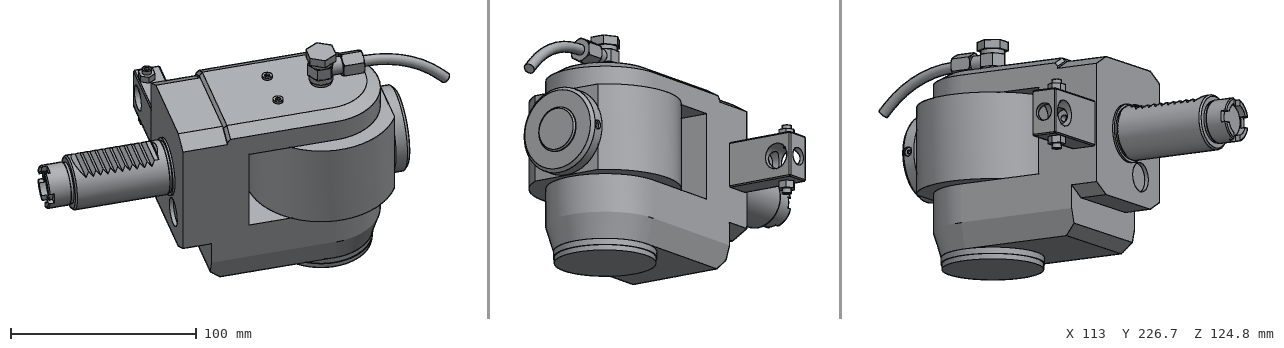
import cadquery as cq
import math


OVERALL_LENGTH = 226.7

HALF_WIDTH = 32.0
DISC_Y = 86.0
TOP_Z = 40.1
TOP_CHAMFER_OUT = 7.3
TOP_CHAMFER_DOWN = 4.0
TAPER_TOP_Z = -45.0
TAPER_ANGLE = 17.0
BOTTOM_Z = -58.7
LOWER_START_Y = 15.9
LOWER_CHAMFER = 6.0

BLOCK_DEPTH = 24.7
BLOCK_TOP_Z = 38.3
BLOCK_BOTTOM_Z = -37.6
BLOCK_CHAMFER_WIDTH = 9.5
BLOCK_CHAMFER_HEIGHT = 5.5
PORT_RADIUS = 8.0
PORT_X = 12.5
PORT_Z = -21.8
PORT_DEPTH = 2.3

DISC_RADIUS = 41.0
DISC_HEIGHT = 47.5
SLOT_START_Y = 37.0
CAP_RADIUS = 23.5
CAP_START_Y = 121.3
CAP_END_Y = 129.5
CAP_CHAMFER = 1.8
CAP_BOSS_RADIUS = 12.2
CAP_BOSS_HEIGHT = 1.4
CAP_BOSS_CHAMFER = 1.0
CAP_SCREW_RADIUS = 2.5
CAP_SCREW_Y = 125.1
CAP_SCREW_DEPTH = 1.4
CAP_SOCKET_RADIUS = 1.1
CAP_SOCKET_DEPTH = 2.7

NOSE_RADIUS = 27.9
NOSE_HEIGHT = 6.3
NOSE_FLANGE_HEIGHT = 3.5
NOSE_RIM_STEP = 0.5

SHANK_RADIUS = 15.0
SHANK_COLLAR_RADIUS = 15.9
SHANK_COLLAR_LENGTH = 1.1
SHANK_NECK_RADIUS = 14.3
SHANK_START = 2.5
SHANK_END = 55.0
SHANK_CHAMFER = 1.0
DRIVE_RADIUS = 11.8
DRIVE_NECK_RADIUS = 11.3
DRIVE_START = 56.7
DRIVE_END = 69.1
DRIVE_CHAMFER = 0.7
DRIVE_BORE_RADIUS = 8.6
DRIVE_BORE_DEPTH = 3.6
DRIVE_SLOT_WIDTH = 6.1
DRIVE_SLOT_DEPTH = 3.0

TEETH_START = 7.0
TEETH_FIRST_VALLEY = 11.5
TEETH_PITCH = 4.0
TEETH_ENTRY_BEVEL = 1.1
TEETH_COUNT = 10
TOOTH_TIP_Z = 12.2
TOOTH_ROOT_Z = 10.2

ARM_END_X = -72.0
ARM_START_Y = 1.1
ARM_END_Y = 15.9
ARM_HEIGHT = 25.0
ARM_BORE_RADIUS = 7.0
ARM_BORE_X = -62.8
ARM_HOLE_Y = 8.5
ARM_HOLE_RADIUS = 4.8
ARM_PILOT_RADIUS = 1.8
ARM_PILOT_DEPTH = 4.5
ARM_HOLE_DEPTH = 20.5
ARM_CHAMFER = 0.7
BOLT_Y = 6.1
BOLT_RADIUS = 2.5
BOLT_LENGTH = 37.6
BOLT_NUT_CORNERS = 9.3
BOLT_NUT_HEIGHT = 3.9
BOLT_TIP_RADIUS = 1.8
BOLT_TIP_Z = 6.5
BOLT_SOCKET = 3.0
BOLT_SOCKET_DEPTH = 2.3

FITTING_BASE_RADIUS = 6.0
FITTING_BASE_HEIGHT = 2.0
FITTING_RADIUS = 6.5
FITTING_HEX_BOTTOM_Z = 45.5
FITTING_HEX_TOP_Z = 52.5
HEAD_BOTTOM_Z = 55.0
HEAD_TOP_Z = 59.8
HEAD_CORNERS = 16.8
HOSE_Z = 48.7
BRANCH_RADIUS = 4.8
HOSE_NUT_START_Y = 97.0
HOSE_NUT_END_Y = 108.8
HOSE_NUT_CORNERS = 13.5
HOSE_RADIUS = 3.0
HOSE_STRAIGHT_END_Y = 110.6
HOSE_BEND_RADIUS = 58.5
HOSE_BEND_ANGLE = 45.0
HOSE_NUT_BEVEL = 0.7

SCREW_X = 10.9
SCREW_Y = 59.0
SCREW_RADIUS = 2.7
SCREW_HEIGHT = 1.4
SCREW_SOCKET = 3.0
SCREW_SOCKET_DEPTH = 1.1

HEX_FLATS_TO_CORNERS = 2 / math.sqrt(3)


def upright(radius, bottom_z, top_z, x=0, y=0):
    """Cylinder along Z."""
    return cq.Workplane("XY", origin=(x, y, bottom_z)).circle(radius).extrude(top_z - bottom_z)


def lying(radius, start_y, end_y, x=0, z=0):
    """Cylinder along Y, from start_y to a larger end_y."""
    return cq.Workplane("XZ", origin=(x, start_y, z)).circle(radius).extrude(start_y - end_y)


def box(x_range, y_range, z_range):
    """Box between two limits on each axis."""
    size = [high - low for low, high in (x_range, y_range, z_range)]
    corner = (x_range[0], y_range[0], z_range[0])
    return cq.Workplane("XY", origin=corner).box(*size, centered=False)


def rounded_prism(start_y, bottom_z, height, taper=0):
    """Prism with a flat front at start_y and a half-round rear about the disc axis."""
    return (
        cq.Workplane("XY", origin=(0, 0, bottom_z))
        .moveTo(-HALF_WIDTH, start_y)
        .lineTo(HALF_WIDTH, start_y)
        .lineTo(HALF_WIDTH, DISC_Y)
        .threePointArc((0, DISC_Y + HALF_WIDTH), (-HALF_WIDTH, DISC_Y))
        .close()
        .extrude(height, taper=taper)
    )


def make_housing():
    upper = rounded_prism(BLOCK_DEPTH, 0, TOP_Z)
    rim = upper.faces(">Z").edges("not <Y")
    upper = rim.chamfer(TOP_CHAMFER_DOWN, TOP_CHAMFER_OUT)

    front_top = upper.faces("<Y").edges("not |Z").edges("not <Z")
    upper = front_top.chamfer(TOP_Z - BLOCK_TOP_Z)

    lower = rounded_prism(LOWER_START_Y, TAPER_TOP_Z, -TAPER_TOP_Z)

    taper_height = TAPER_TOP_Z - BOTTOM_Z
    front_shift = taper_height * math.tan(math.radians(TAPER_ANGLE))
    tapered = rounded_prism(LOWER_START_Y - front_shift, TAPER_TOP_Z, -taper_height, TAPER_ANGLE)
    front_limits = ((-HALF_WIDTH, HALF_WIDTH), (LOWER_START_Y, DISC_Y + HALF_WIDTH), (BOTTOM_Z, 0))
    tapered = tapered.intersect(box(*front_limits))
    tapered = tapered.faces("<Z").edges("<Y").chamfer(LOWER_CHAMFER)
    return upper.union(lower).union(tapered)


def make_block():
    inner = HALF_WIDTH - BLOCK_CHAMFER_WIDTH
    low_side = BLOCK_BOTTOM_Z + BLOCK_CHAMFER_HEIGHT
    high_side = BLOCK_TOP_Z - BLOCK_CHAMFER_HEIGHT
    outline = [
        (-inner, BLOCK_BOTTOM_Z),
        (inner, BLOCK_BOTTOM_Z),
        (HALF_WIDTH, low_side),
        (HALF_WIDTH, high_side),
        (inner, BLOCK_TOP_Z),
        (-inner, BLOCK_TOP_Z),
        (-HALF_WIDTH, high_side),
        (-HALF_WIDTH, low_side),
    ]
    block = cq.Workplane("XZ").polyline(outline).close().extrude(-BLOCK_DEPTH)
    port = lying(PORT_RADIUS, 0, PORT_DEPTH, PORT_X, PORT_Z)
    return block.cut(port)


def make_disc():
    half_height = DISC_HEIGHT / 2
    disc = upright(DISC_RADIUS, -half_height, half_height, y=DISC_Y)
    return disc.cut(lying(DISC_RADIUS, CAP_START_Y, DISC_Y + DISC_RADIUS))


def make_cap():
    cap = lying(CAP_RADIUS, CAP_START_Y, CAP_END_Y).faces(">Y").edges().chamfer(CAP_CHAMFER)
    boss = lying(CAP_BOSS_RADIUS, CAP_END_Y, CAP_END_Y + CAP_BOSS_HEIGHT)
    boss = boss.faces(">Y").edges().chamfer(CAP_BOSS_CHAMFER)

    screw_face = cq.Workplane("YZ", origin=(-CAP_RADIUS, CAP_SCREW_Y, 0))
    screw_hole = screw_face.circle(CAP_SCREW_RADIUS).extrude(CAP_SCREW_DEPTH)
    socket = screw_face.circle(CAP_SOCKET_RADIUS).extrude(CAP_SOCKET_DEPTH)
    return cap.union(boss).cut(screw_hole).cut(socket)


def make_nose():
    rim_z = BOTTOM_Z - NOSE_FLANGE_HEIGHT
    flange = upright(NOSE_RADIUS, rim_z, BOTTOM_Z, y=DISC_Y)
    rim = upright(NOSE_RADIUS - NOSE_RIM_STEP, BOTTOM_Z - NOSE_HEIGHT, rim_z, y=DISC_Y)
    return flange.union(rim)


def make_teeth_cutter():
    """Toothed profile removed from the top of the shank, right across its width."""
    half_pitch = TEETH_PITCH / 2
    outline = [
        (TEETH_ENTRY_BEVEL - TEETH_START, SHANK_RADIUS),
        (-TEETH_START, SHANK_RADIUS - TEETH_ENTRY_BEVEL),
        (-TEETH_START, TOOTH_TIP_Z),
    ]
    for i in range(TEETH_COUNT):
        valley_y = -TEETH_FIRST_VALLEY - i * TEETH_PITCH
        outline.append((valley_y + half_pitch, TOOTH_TIP_Z))
        outline.append((valley_y, TOOTH_ROOT_Z))

    outline.append((valley_y - (SHANK_RADIUS - TOOTH_ROOT_Z), SHANK_RADIUS))
    return cq.Workplane("YZ").polyline(outline).close().extrude(SHANK_RADIUS, both=True)


def make_shank():
    collar = lying(SHANK_COLLAR_RADIUS, -SHANK_COLLAR_LENGTH, 0)
    neck = lying(SHANK_NECK_RADIUS, -SHANK_START, 0)
    barrel = lying(SHANK_RADIUS, -SHANK_END, -SHANK_START).faces("<Y").edges().chamfer(SHANK_CHAMFER)
    barrel = barrel.cut(make_teeth_cutter())

    drive_neck = lying(DRIVE_NECK_RADIUS, -DRIVE_START, -SHANK_END)
    drive = lying(DRIVE_RADIUS, -DRIVE_END, -DRIVE_START).faces("<Y").edges().chamfer(DRIVE_CHAMFER)
    drive = drive.cut(lying(DRIVE_BORE_RADIUS, -DRIVE_END, DRIVE_BORE_DEPTH - DRIVE_END))
    slots = (
        cq.Workplane("XZ", origin=(0, DRIVE_SLOT_DEPTH - DRIVE_END, 0))
        .rect(2 * DRIVE_RADIUS, DRIVE_SLOT_WIDTH)
        .extrude(DRIVE_SLOT_DEPTH)
    )
    drive = drive.cut(slots).cut(slots.rotate((0, 0, 0), (0, 1, 0), 90))
    return collar.union(neck).union(barrel).union(drive_neck).union(drive)


def make_arm():
    half_height = ARM_HEIGHT / 2
    arm = box((ARM_END_X, -HALF_WIDTH), (ARM_START_Y, ARM_END_Y), (-half_height, half_height))
    arm = arm.edges("|X").chamfer(ARM_CHAMFER)
    arm = arm.faces("<X").edges().chamfer(ARM_CHAMFER)

    end_face = cq.Workplane("YZ", origin=(ARM_END_X, ARM_HOLE_Y, 0))
    end_hole = end_face.circle(ARM_HOLE_RADIUS).extrude(ARM_HOLE_DEPTH)
    pilot = end_face.circle(ARM_PILOT_RADIUS).extrude(ARM_HOLE_DEPTH + ARM_PILOT_DEPTH)
    bore = lying(ARM_BORE_RADIUS, ARM_START_Y, ARM_END_Y, ARM_BORE_X)
    arm = arm.cut(bore).cut(end_hole).cut(pilot)

    clamp_screw = make_clamp_screw()
    return arm.union(clamp_screw).union(clamp_screw.mirror("XY"))


def make_clamp_screw():
    """Socket screw with a locknut on top of the arm; its tip just enters the bore."""
    arm_top = ARM_HEIGHT / 2
    shaft_top = BOLT_LENGTH / 2
    tip = upright(BOLT_TIP_RADIUS, BOLT_TIP_Z, arm_top, ARM_BORE_X, BOLT_Y)
    shaft = upright(BOLT_RADIUS, arm_top, shaft_top, ARM_BORE_X, BOLT_Y)
    nut = (
        cq.Workplane("XY", origin=(ARM_BORE_X, BOLT_Y, arm_top))
        .polygon(6, BOLT_NUT_CORNERS)
        .extrude(BOLT_NUT_HEIGHT)
    )
    socket = (
        cq.Workplane("XY", origin=(ARM_BORE_X, BOLT_Y, shaft_top - BOLT_SOCKET_DEPTH))
        .polygon(6, BOLT_SOCKET)
        .extrude(BOLT_SOCKET_DEPTH)
    )
    return tip.union(shaft).union(nut).cut(socket)


def make_fitting():
    base = upright(FITTING_BASE_RADIUS, TOP_Z, TOP_Z + FITTING_BASE_HEIGHT, y=DISC_Y)
    stem = upright(FITTING_RADIUS, TOP_Z + FITTING_BASE_HEIGHT, HEAD_BOTTOM_Z, y=DISC_Y)
    body_hex = (
        cq.Workplane("XY", origin=(0, DISC_Y, FITTING_HEX_BOTTOM_Z))
        .transformed(rotate=(0, 0, 90))
        .polygon(6, 2 * FITTING_RADIUS * HEX_FLATS_TO_CORNERS)
        .extrude(FITTING_HEX_TOP_Z - FITTING_HEX_BOTTOM_Z)
    )
    head = (
        cq.Workplane("XY", origin=(0, DISC_Y, HEAD_BOTTOM_Z))
        .polygon(6, HEAD_CORNERS)
        .extrude(HEAD_TOP_Z - HEAD_BOTTOM_Z)
    )
    branch = lying(BRANCH_RADIUS, DISC_Y, HOSE_NUT_START_Y, z=HOSE_Z)
    hose_nut = (
        cq.Workplane("XZ", origin=(0, HOSE_NUT_END_Y, HOSE_Z))
        .transformed(rotate=(0, 0, 90))
        .polygon(6, HOSE_NUT_CORNERS)
        .extrude(HOSE_NUT_END_Y - HOSE_NUT_START_Y)
    )
    nut_envelope = lying(HOSE_NUT_CORNERS / 2, HOSE_NUT_START_Y, HOSE_NUT_END_Y, z=HOSE_Z)
    hose_nut = hose_nut.intersect(nut_envelope.edges().chamfer(HOSE_NUT_BEVEL))
    return base.union(stem).union(body_hex).union(head).union(branch).union(hose_nut)


def make_hose():
    """Hose running back from the nut, bending down, then running straight to its tip."""
    straight = lying(HOSE_RADIUS, HOSE_NUT_END_Y, HOSE_STRAIGHT_END_Y, z=HOSE_Z)
    bend = (
        cq.Workplane("XZ", origin=(0, HOSE_STRAIGHT_END_Y, HOSE_Z))
        .circle(HOSE_RADIUS)
        .revolve(HOSE_BEND_ANGLE, (0, -HOSE_BEND_RADIUS), (-1, -HOSE_BEND_RADIUS))
    )
    angle = math.radians(HOSE_BEND_ANGLE)
    bend_end_y = HOSE_STRAIGHT_END_Y + HOSE_BEND_RADIUS * math.sin(angle)
    bend_end_z = HOSE_Z - HOSE_BEND_RADIUS * (1 - math.cos(angle))

    tip_end_y = OVERALL_LENGTH - DRIVE_END - HOSE_RADIUS * math.sin(angle)
    tip_length = (tip_end_y - bend_end_y) / math.cos(angle)
    direction = (0, math.cos(angle), -math.sin(angle))
    end_plane = cq.Plane(origin=(0, bend_end_y, bend_end_z), xDir=(1, 0, 0), normal=direction)
    tip = cq.Workplane(end_plane).circle(HOSE_RADIUS).extrude(tip_length)
    return straight.union(bend).union(tip)


def make_screw(x):
    head = upright(SCREW_RADIUS, TOP_Z, TOP_Z + SCREW_HEIGHT, x, SCREW_Y)
    return head.faces(">Z").workplane().polygon(6, SCREW_SOCKET).cutBlind(-SCREW_SOCKET_DEPTH)


half_slot = DISC_HEIGHT / 2
slot = box(
    (-HALF_WIDTH, HALF_WIDTH),
    (SLOT_START_Y, DISC_Y + HALF_WIDTH),
    (-half_slot, half_slot),
)

result = make_housing().union(make_block()).cut(slot)
result = result.union(make_disc()).union(make_cap()).union(make_nose())
result = result.union(make_shank()).union(make_arm())
result = result.union(make_fitting()).union(make_hose())
for side in (-1, 1):
    result = result.union(make_screw(side * SCREW_X))